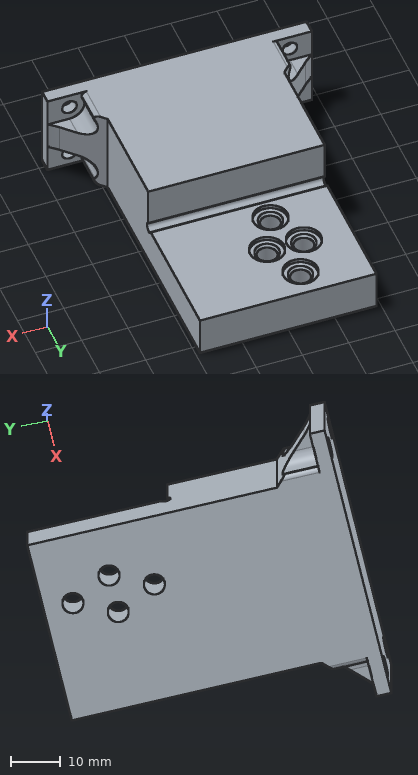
import cadquery as cq
import math

flange_width = 57.15
length = 64.0
height = 19.1
flange_thickness = 3.1
body_width = 38.15

ledge_height = 9.0
step_y = 34.95
relief_radius = 1.0
relief_wall_offset = 0.4
relief_floor_offset = 0.25

gusset_top_y = 12.2
gusset_arc_height = 1.65

screw_spacing_x = 47.6
screw_spacing_z = 12.7
screw_diameter = 3.15
screw_countersink_diameter = 4.2
screw_countersink_depth = 0.6
pocket_radius = 3.2
pocket_lip_radius = 1.0

ledge_hole_centre = (-5.0, length - 14.5)
ledge_hole_reach_x = 3.95
ledge_hole_reach_y = 8.45
ledge_hole_diameter = 4.2
ledge_chamfer_diameter = 5.1
ledge_chamfer_depth = 0.65
counterbore_diameter = 7.3
counterbore_depth = 0.8

margin = 3.2


def make_body():
    """Body with a lowered ledge and a round relief groove in its corner."""
    body = cq.Workplane("XY").box(body_width, length, height, centered=(True, False, False))
    step = (
        cq.Workplane("XY", origin=(0, step_y, ledge_height))
        .box(flange_width, length, height, centered=(True, False, False))
    )
    relief = (
        cq.Workplane("YZ", origin=(-flange_width / 2, 0, 0))
        .center(step_y + relief_wall_offset, ledge_height + relief_floor_offset)
        .circle(relief_radius)
        .extrude(flange_width)
    )
    return body.cut(step).cut(relief)


def make_gusset():
    """Gusset on the +X side: a 45 degree slope blended into the flange by a concave arc."""
    root_x = body_width / 2
    edge_x = flange_width / 2
    arc_start_y = flange_thickness + gusset_arc_height
    arc_start_x = root_x + gusset_top_y - arc_start_y
    return (
        cq.Workplane("XY")
        .moveTo(root_x, 0)
        .lineTo(root_x, gusset_top_y)
        .lineTo(arc_start_x, arc_start_y)
        .tangentArcPoint((edge_x, flange_thickness), relative=False)
        .lineTo(edge_x, 0)
        .close()
        .extrude(height)
    )


def make_pocket():
    """Upper +X screw pocket: half-round inner wall, flat floor, rounded lip at the top face."""
    x = screw_spacing_x / 2
    z = (height + screw_spacing_z) / 2
    lip_z = height - pocket_lip_radius
    centre_distance = pocket_radius + pocket_lip_radius
    lip_x = x - math.sqrt(centre_distance**2 - (lip_z - z) ** 2)
    blend = pocket_radius / centre_distance
    blend_point = (x + (lip_x - x) * blend, z + (lip_z - z) * blend)
    lip_middle = (
        lip_x + pocket_lip_radius * math.sin(math.pi / 4),
        lip_z + pocket_lip_radius * math.cos(math.pi / 4),
    )
    outer_x = flange_width / 2 + margin
    return (
        cq.Workplane("XZ", origin=(0, gusset_top_y, 0))
        .moveTo(outer_x, z - pocket_radius)
        .lineTo(x, z - pocket_radius)
        .threePointArc((x - pocket_radius, z), blend_point)
        .threePointArc(lip_middle, (lip_x, height))
        .lineTo(lip_x, height + margin)
        .lineTo(outer_x, height + margin)
        .close()
        .extrude(gusset_top_y - flange_thickness)
    )


def make_countersunk_cutter(diameter, mouth_diameter, sink, depth):
    """Hole cutter along -Z from the origin with a conical mouth of depth sink."""
    return (
        cq.Workplane("XZ")
        .polyline([
            (0, 0),
            (mouth_diameter / 2, 0),
            (diameter / 2, -sink),
            (diameter / 2, -depth),
            (0, -depth),
        ])
        .close()
        .revolve(360, (0, 0, 0), (0, 1, 0))
    )


result = make_body().union(
    cq.Workplane("XY").box(flange_width, flange_thickness, height, centered=(True, False, False))
)

pocket = make_pocket()
pockets = pocket.union(pocket.mirror("XY", (0, 0, height / 2)))
gusset = make_gusset().cut(pockets)
result = result.union(gusset).union(gusset.mirror("YZ"))

screw_cutter = make_countersunk_cutter(
    screw_diameter, screw_countersink_diameter, screw_countersink_depth, flange_thickness + margin
).rotate((0, 0, 0), (1, 0, 0), 90)
for side_x in (-1, 1):
    for side_z in (-1, 1):
        place = (side_x * screw_spacing_x / 2, 0, (height + side_z * screw_spacing_z) / 2)
        result = result.cut(screw_cutter.translate(place))

counterbore_floor = ledge_height - counterbore_depth
ledge_cutter = make_countersunk_cutter(
    ledge_hole_diameter, ledge_chamfer_diameter, ledge_chamfer_depth, ledge_height + margin
).union(cq.Workplane("XY").circle(counterbore_diameter / 2).extrude(counterbore_depth))
for side_x, side_y in ((1, 0), (-1, 0), (0, 1), (0, -1)):
    place = (
        ledge_hole_centre[0] + side_x * ledge_hole_reach_x,
        ledge_hole_centre[1] + side_y * ledge_hole_reach_y,
        counterbore_floor,
    )
    result = result.cut(ledge_cutter.translate(place))